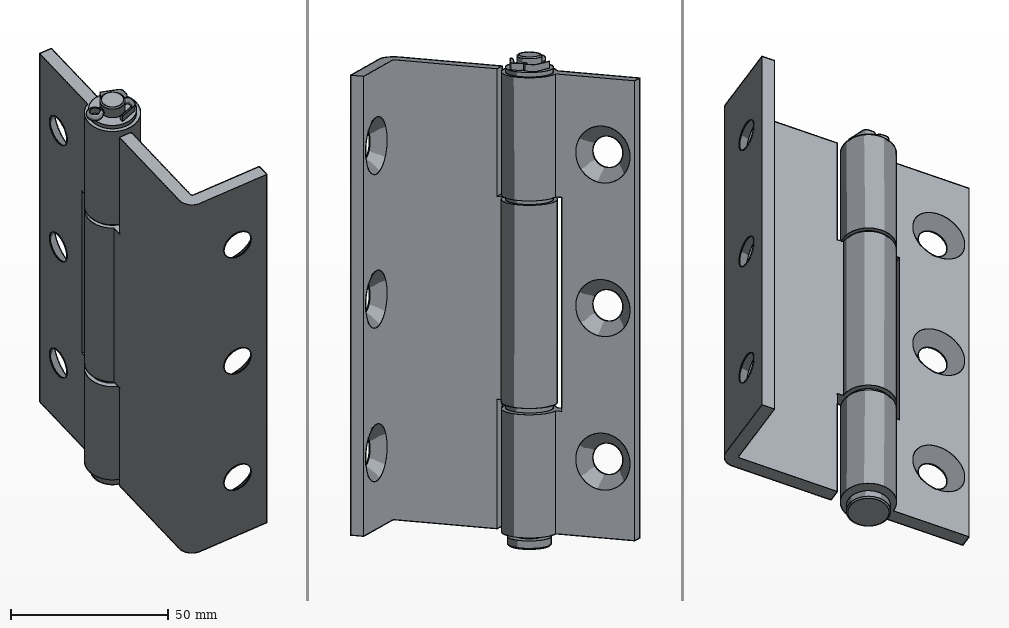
import cadquery as cq
import math


LEAF_HEIGHT = 150.0
THICKNESS = 4.5
LEAF_BACK = 0.0
LEAF_FRONT = LEAF_BACK - THICKNESS
FLAT_LEAF_REACH = 36.0
ANGLE_LEAF_REACH = 51.0
FLANGE_TOP = 25.6
BEND_OUTER_RADIUS = 4.8
BEND_INNER_RADIUS = 0.8
AXIS_TO_LEAF = 11.0

KNUCKLE_RADIUS = 9.0
PIN_RADIUS = 4.0
WINDOW_HEIGHT = 69.8
WINDOW_BOTTOM = (LEAF_HEIGHT - WINDOW_HEIGHT) / 2
WINDOW_TOP = WINDOW_BOTTOM + WINDOW_HEIGHT
LOWER_GAP = 2.0

WASHER_RADIUS = 7.7
WASHER_THICKNESS = 1.5
LOWER_WASHER_LIFT = (LOWER_GAP - WASHER_THICKNESS) / 2
MIDDLE_KNUCKLE_BOTTOM = WINDOW_BOTTOM + LOWER_GAP
MIDDLE_KNUCKLE_TOP = WINDOW_TOP - WASHER_THICKNESS

HOLE_RADIUS = 5.1
COUNTERSINK_RADIUS = 9.3
HOLE_PITCH = 50.0
HOLE_HEIGHTS = [LEAF_HEIGHT / 2 + step * HOLE_PITCH for step in (-1, 0, 1)]
FLAT_LEAF_HOLE_X = -25.1
FLANGE_HOLE_Y = 14.5

OVERALL_HEIGHT = 160
HEAD_RADIUS = 7.0
HEAD_HEIGHT = 2.9
HEAD_CLEARANCE = 1.5
PIN_BOTTOM = -HEAD_CLEARANCE - HEAD_HEIGHT
PIN_TOP = PIN_BOTTOM + OVERALL_HEIGHT
PIN_CHAMFER = 0.5

WIRE_RADIUS = 1.1
COTTER_CLEARANCE = 0.2
COTTER_Z = LEAF_HEIGHT + WASHER_THICKNESS + COTTER_CLEARANCE + WIRE_RADIUS
COTTER_FRONT = -9.5
EYE_RADIUS = 1.6
EYE_CENTRE_Y = COTTER_FRONT + WIRE_RADIUS + EYE_RADIUS
EYE_NECK_Y = -4.6
LEG_BEND_RADIUS = 1.6
LEG_BACK = 6.2
LEG_TIP_X = 6.7
LEG_TIP_Y = -0.5
LEG_SPLAY = math.radians(20)


def cylinder(radius, bottom, top):
    return cq.Workplane("XY").workplane(offset=bottom).circle(radius).extrude(top - bottom)


def plate(x_min, x_max, bottom, top):
    size = (x_max - x_min, THICKNESS, top - bottom)
    return cq.Workplane("XY").box(*size, centered=False).translate((x_min, LEAF_FRONT, bottom))


def countersunk_cutter(centre, direction):
    """Screw hole through the sheet, its wide end at centre, running along direction."""
    depth = COUNTERSINK_RADIUS - HOLE_RADIUS
    hole = cq.Solid.makeCylinder(HOLE_RADIUS, THICKNESS, centre, direction)
    cone = cq.Solid.makeCone(COUNTERSINK_RADIUS, HOLE_RADIUS, depth, centre, direction)
    return hole.fuse(cone)


def make_flat_leaf():
    leaf = plate(-FLAT_LEAF_REACH, -AXIS_TO_LEAF, 0, LEAF_HEIGHT)
    for bottom, top in ((0, WINDOW_BOTTOM), (WINDOW_TOP, LEAF_HEIGHT)):
        leaf = leaf.union(plate(-AXIS_TO_LEAF, 0, bottom, top))
        leaf = leaf.union(cylinder(KNUCKLE_RADIUS, bottom, top))
    leaf = leaf.cut(cylinder(PIN_RADIUS, 0, LEAF_HEIGHT))
    for height in HOLE_HEIGHTS:
        centre = cq.Vector(FLAT_LEAF_HOLE_X, LEAF_BACK, height)
        leaf = leaf.cut(countersunk_cutter(centre, cq.Vector(0, -1, 0)))
    return leaf


def make_angle_leaf():
    flange_inner_x = ANGLE_LEAF_REACH - THICKNESS
    leaf = (
        cq.Workplane("XY")
        .moveTo(AXIS_TO_LEAF, LEAF_FRONT)
        .lineTo(ANGLE_LEAF_REACH, LEAF_FRONT)
        .lineTo(ANGLE_LEAF_REACH, FLANGE_TOP)
        .lineTo(flange_inner_x, FLANGE_TOP)
        .lineTo(flange_inner_x, LEAF_BACK)
        .lineTo(AXIS_TO_LEAF, LEAF_BACK)
        .close()
        .extrude(LEAF_HEIGHT)
    )
    leaf = leaf.edges(cq.selectors.NearestToPointSelector(
        (ANGLE_LEAF_REACH, LEAF_FRONT, LEAF_HEIGHT / 2))).fillet(BEND_OUTER_RADIUS)
    leaf = leaf.edges(cq.selectors.NearestToPointSelector(
        (flange_inner_x, LEAF_BACK, LEAF_HEIGHT / 2))).fillet(BEND_INNER_RADIUS)
    leaf = leaf.union(plate(0, AXIS_TO_LEAF, MIDDLE_KNUCKLE_BOTTOM, MIDDLE_KNUCKLE_TOP))
    leaf = leaf.union(cylinder(KNUCKLE_RADIUS, MIDDLE_KNUCKLE_BOTTOM, MIDDLE_KNUCKLE_TOP))
    leaf = leaf.cut(cylinder(PIN_RADIUS, 0, LEAF_HEIGHT))
    for height in HOLE_HEIGHTS:
        centre = cq.Vector(flange_inner_x, FLANGE_HOLE_Y, height)
        leaf = leaf.cut(countersunk_cutter(centre, cq.Vector(1, 0, 0)))
    return leaf


def make_washer(bottom):
    top = bottom + WASHER_THICKNESS
    return cylinder(WASHER_RADIUS, bottom, top).cut(cylinder(PIN_RADIUS, bottom, top))


def make_pin():
    head = cylinder(HEAD_RADIUS, PIN_BOTTOM, -HEAD_CLEARANCE).faces("<Z").chamfer(PIN_CHAMFER)
    shank = cylinder(PIN_RADIUS, -HEAD_CLEARANCE, PIN_TOP).faces(">Z").chamfer(PIN_CHAMFER)
    cotter_hole = cq.Solid.makeCylinder(
        WIRE_RADIUS, 2 * PIN_RADIUS, cq.Vector(0, -PIN_RADIUS, COTTER_Z), cq.Vector(0, 1, 0))
    return head.union(shank).cut(cotter_hole)


def cotter_half_path():
    """Flat side of the right-hand half: round the eye, through the pin, out and forward again."""
    taper = math.asin(EYE_RADIUS / (EYE_NECK_Y - EYE_CENTRE_Y))
    eye_front = (0, EYE_CENTRE_Y - EYE_RADIUS)
    eye_side = (EYE_RADIUS, EYE_CENTRE_Y)
    eye_tangent = (EYE_RADIUS * math.cos(taper), EYE_CENTRE_Y + EYE_RADIUS * math.sin(taper))

    bend_y = LEG_BACK - LEG_BEND_RADIUS
    tip_start_y = bend_y + LEG_BEND_RADIUS * math.sin(LEG_SPLAY)
    tip_start_x = LEG_TIP_X - (tip_start_y - LEG_TIP_Y) * math.tan(LEG_SPLAY)
    outer_bend_x = tip_start_x - LEG_BEND_RADIUS * math.cos(LEG_SPLAY)
    diagonal = LEG_BEND_RADIUS * math.sqrt(0.5)
    inner_bend_middle = (LEG_BEND_RADIUS - diagonal, bend_y + diagonal)
    outer_bend_middle = (outer_bend_x + diagonal, bend_y + diagonal)

    return (
        cq.Workplane("XY", origin=(0, 0, COTTER_Z))
        .moveTo(*eye_front)
        .threePointArc(eye_side, eye_tangent)
        .lineTo(0, EYE_NECK_Y)
        .lineTo(0, bend_y)
        .threePointArc(inner_bend_middle, (LEG_BEND_RADIUS, LEG_BACK))
        .lineTo(outer_bend_x, LEG_BACK)
        .threePointArc(outer_bend_middle, (tip_start_x, tip_start_y))
        .lineTo(LEG_TIP_X, LEG_TIP_Y)
    )


def make_cotter():
    section = (
        cq.Workplane("YZ", origin=(0, EYE_CENTRE_Y - EYE_RADIUS, COTTER_Z))
        .moveTo(0, -WIRE_RADIUS)
        .threePointArc((-WIRE_RADIUS, 0), (0, WIRE_RADIUS))
        .close()
    )
    half = section.sweep(cotter_half_path(), transition="right")
    return half.union(half.mirror("YZ"))


flat_leaf = make_flat_leaf()
angle_leaf = make_angle_leaf()
pin = make_pin()
cotter = make_cotter()
washers = [
    make_washer(bottom)
    for bottom in (WINDOW_BOTTOM + LOWER_WASHER_LIFT, MIDDLE_KNUCKLE_TOP, LEAF_HEIGHT)
]

result = cq.Compound.makeCompound([
    flat_leaf.val(),
    angle_leaf.val(),
    pin.val(),
    cotter.val(),
    *[washer.val() for washer in washers],
])